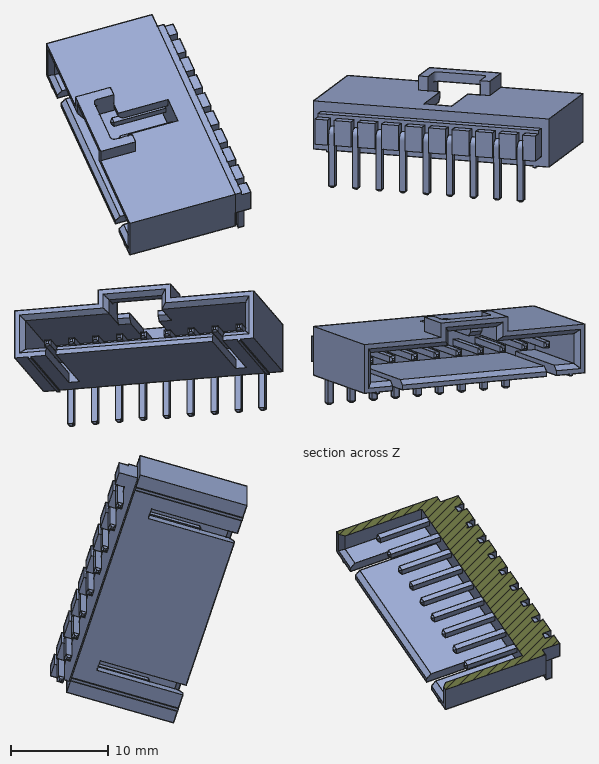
import cadquery as cq


pin_count = 9
pitch = 2.54
pin_size = 0.64
pin_axis_z = 2.55
pin_tip_length = 0.2
pin_tip_size = 0.24
mating_tip_y = 3.4
tail_tip_z = -3.5
tail_inset = 0.25
pin_bend_radius = 0.8
first_pin_x = -pitch * (pin_count - 1) / 2

housing_length = 25.41
housing_depth = 11.5
housing_height = 5.1
wall = 1.0
lead_in = 0.5
cavity_depth = 9.25
cavity_length = housing_length - 2 * wall
roof_underside_z = housing_height - wall

bridge_length = 7.7
bridge_depth = 3.8
bridge_rise = 1.5
bridge_opening_length = 5.6
bridge_bar_depth = 1.55
bridge_notch_radius = 0.4
bridge_top_z = housing_height + bridge_rise
roof_slot_width = 3.0

floor_slot_width = 1.12
floor_slot_x = 8.87
rib_x = 11.13
rib_width = 0.32
rib_height = 0.17

block_length = 23.76
block_depth = 2.0
block_bottom_z = 1.05
block_top_z = 4.05
comb_depth = 1.0
comb_drop = 0.35
comb_slot_width = 0.7
rear_y = housing_depth + block_depth


def box(length, y_start, y_end, z_start, z_end, x_center=0.0):
    """Axis-aligned block centred on x_center and spanning the given Y and Z ranges."""
    return cq.Workplane("XY").box(
        length, y_end - y_start, z_end - z_start, centered=(True, False, False)
    ).translate((x_center, y_start, z_start))


def pin_positions():
    return [first_pin_x + pitch * index for index in range(pin_count)]


def flared_opening(length, z_start, z_end, depth):
    """Rectangular opening from the mating face, widened by a lead-in chamfer at its mouth."""
    z_center = (z_start + z_end) / 2
    height = z_end - z_start
    flare = (
        cq.Workplane("XZ", origin=(0, 0, z_center))
        .rect(length + 2 * lead_in, height + 2 * lead_in)
        .workplane(offset=-lead_in)
        .rect(length, height)
        .loft(ruled=True)
    )
    return box(length, 0, depth, z_start, z_end).union(flare)


def make_shell():
    """Housing with the latch bridge, hollowed out from the mating face."""
    body = box(housing_length, 0, housing_depth, 0, housing_height)
    bridge = box(bridge_length, 0, bridge_depth, housing_height, bridge_top_z)
    cavity = flared_opening(cavity_length, wall, roof_underside_z, cavity_depth)
    bridge_opening = flared_opening(bridge_opening_length, wall, bridge_top_z - wall, bridge_depth)
    return body.union(bridge).cut(cavity).cut(bridge_opening)


def make_bridge_notch():
    """Opening in the bridge top, open to the rear and rounded at its front corners."""
    return (
        box(bridge_opening_length, bridge_bar_depth, bridge_depth, roof_underside_z, bridge_top_z)
        .edges("|Z and <Y")
        .fillet(bridge_notch_radius)
    )


def make_roof_edge_chamfer():
    """Wedge that bevels the underside of the roof edge behind the bridge."""
    return (
        cq.Workplane("YZ", origin=(-bridge_opening_length / 2, 0, 0))
        .moveTo(bridge_depth, roof_underside_z)
        .lineTo(bridge_depth + lead_in, roof_underside_z)
        .lineTo(bridge_depth, roof_underside_z + lead_in)
        .close()
        .extrude(bridge_opening_length)
    )


def make_rear_block():
    """Stepped block behind the housing, slotted at every pin."""
    block = box(block_length, housing_depth, rear_y, block_bottom_z, block_top_z)
    comb_front_y = rear_y - comb_depth
    block = block.cut(box(block_length, comb_front_y, rear_y, block_top_z - comb_drop, block_top_z))
    for x in pin_positions():
        block = block.cut(box(comb_slot_width, comb_front_y, rear_y, block_bottom_z, block_top_z, x))
    return block


def pin_tip(workplane):
    """Square tip tapering along the workplane normal."""
    return (
        workplane.rect(pin_size, pin_size)
        .workplane(offset=pin_tip_length)
        .rect(pin_tip_size, pin_tip_size)
        .loft(ruled=True)
    )


def make_pin(x_center):
    """Right-angle square pin with a rounded outer bend and tapered ends."""
    half = pin_size / 2
    tail_rear_y = rear_y - tail_inset
    tail_front_y = tail_rear_y - pin_size
    mating_shoulder_y = mating_tip_y + pin_tip_length
    tail_shoulder_z = tail_tip_z + pin_tip_length
    bottom_z = pin_axis_z - half
    top_z = pin_axis_z + half
    shank = (
        cq.Workplane("YZ", origin=(x_center - half, 0, 0))
        .moveTo(mating_shoulder_y, bottom_z)
        .lineTo(tail_front_y, bottom_z)
        .lineTo(tail_front_y, tail_shoulder_z)
        .lineTo(tail_rear_y, tail_shoulder_z)
        .lineTo(tail_rear_y, top_z - pin_bend_radius)
        .radiusArc((tail_rear_y - pin_bend_radius, top_z), -pin_bend_radius)
        .lineTo(mating_shoulder_y, top_z)
        .close()
        .extrude(pin_size)
    )
    mating_tip = pin_tip(cq.Workplane("XZ", origin=(x_center, mating_shoulder_y, pin_axis_z)))
    tail_axis_y = (tail_rear_y + tail_front_y) / 2
    tail_plane = cq.Plane(origin=(x_center, tail_axis_y, tail_shoulder_z), normal=(0, 0, -1))
    return shank.union(mating_tip).union(pin_tip(cq.Workplane(tail_plane)))


result = make_shell().cut(make_bridge_notch()).cut(make_roof_edge_chamfer())
result = result.cut(box(roof_slot_width, bridge_depth, cavity_depth, roof_underside_z, housing_height))
for side in (-1, 1):
    result = result.cut(box(floor_slot_width, 0, cavity_depth, 0, wall, side * floor_slot_x))
    result = result.union(box(rib_width, 0, housing_depth, -rib_height, 0, side * rib_x))
result = result.union(make_rear_block())
for x in pin_positions():
    result = result.union(make_pin(x))